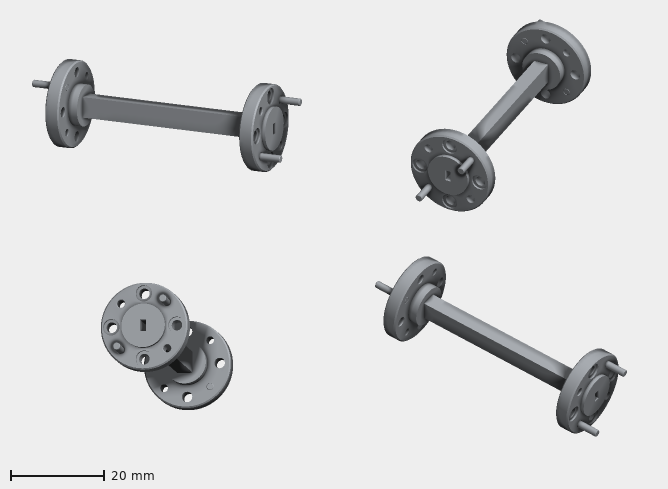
import cadquery as cq
import math

overall_length = 58.55
face_to_face = 50.8

flange_diameter = 19.0
flange_thickness = 3.2
flange_chamfer = 0.3
boss_diameter = 9.55
boss_height = 0.9
hub_diameter = 9.15
hub_length = 2.1

tube_width = 3.3
tube_height = 4.55
bore_width = 1.3
bore_height = 2.5

bolt_circle_radius = 7.15
screw_hole_diameter = 2.3
counterbore_diameter = 3.6
counterbore_depth = 0.45
pin_diameter = 1.6
pin_chamfer = 0.1
clearance_hole_diameter = 1.7
pin_hole_chamfer = 0.1

boss_face = face_to_face / 2
flange_front = boss_face - boss_height
flange_back = flange_front - flange_thickness
hub_end = flange_back - hub_length
pin_tip = overall_length / 2

screw_angles = [0, 90, 180, 270]
pin_angles = [45, 225]
clearance_angles = [135, 315]


def around_axis(angles):
    """Bolt-circle points (Y, Z) at the given angles."""
    return [
        (
            bolt_circle_radius * math.cos(math.radians(angle)),
            bolt_circle_radius * math.sin(math.radians(angle)),
        )
        for angle in angles
    ]


def cylinders(diameter, start, end, points):
    """Cylinders along +X from start to end, centred on (Y, Z) points."""
    return (
        cq.Workplane("YZ", origin=(start, 0, 0))
        .pushPoints(points)
        .circle(diameter / 2)
        .extrude(end - start)
    )


def rimmed_holes(diameter, points):
    """Cutter for holes through the disc with a chamfered rim on the front."""
    rim_diameter = diameter + 2 * pin_hole_chamfer
    hole = cylinders(diameter, flange_back, flange_front, points)
    rims = (
        cq.Workplane("YZ", origin=(flange_front, 0, 0))
        .pushPoints(points)
        .circle(rim_diameter / 2)
        .extrude(-pin_hole_chamfer, taper=45)
    )
    return hole.union(rims)


def make_flange():
    """The +X flange: chamfered disc, raised boss, hub and all of its holes."""
    axis = [(0, 0)]
    disc = cylinders(flange_diameter, flange_back, flange_front, axis)
    disc = disc.edges().chamfer(flange_chamfer)
    boss = cylinders(boss_diameter, flange_front, boss_face, axis)
    hub = cylinders(hub_diameter, hub_end, flange_back, axis)
    screw_points = around_axis(screw_angles)
    screw_holes = cylinders(screw_hole_diameter, flange_back, flange_front, screw_points)
    counterbores = cylinders(
        counterbore_diameter, flange_front - counterbore_depth, flange_front, screw_points
    )
    pin_holes = rimmed_holes(pin_diameter, around_axis(pin_angles))
    clearance_holes = rimmed_holes(clearance_hole_diameter, around_axis(clearance_angles))
    flange = disc.union(boss).union(hub)
    for holes in (screw_holes, counterbores, pin_holes, clearance_holes):
        flange = flange.cut(holes)
    return flange


def half_turn(shape):
    """Turn a +X end feature about Z to the -X end."""
    return shape.rotate((0, 0, 0), (0, 0, 1), 180)


def make_waveguide():
    """Rectangular tube with a flange at each end and one bore through all."""
    flange = make_flange()
    tube = cq.Workplane("XY").box(2 * hub_end, tube_width, tube_height)
    bore = cq.Workplane("XY").box(face_to_face, bore_width, bore_height)
    return tube.union(flange).union(half_turn(flange)).cut(bore)


def make_pin(point):
    """Dowel pin at a (Y, Z) point of the +X flange, chamfered at both ends."""
    pin = cylinders(pin_diameter, flange_back, pin_tip, [point])
    return pin.faces("<X or >X").edges().chamfer(pin_chamfer)


waveguide = make_waveguide()

pins = []
for point in around_axis(pin_angles):
    pin = make_pin(point)
    pins.append(pin.val())
    pins.append(half_turn(pin).val())

result = cq.Compound.makeCompound([waveguide.val(), *pins])